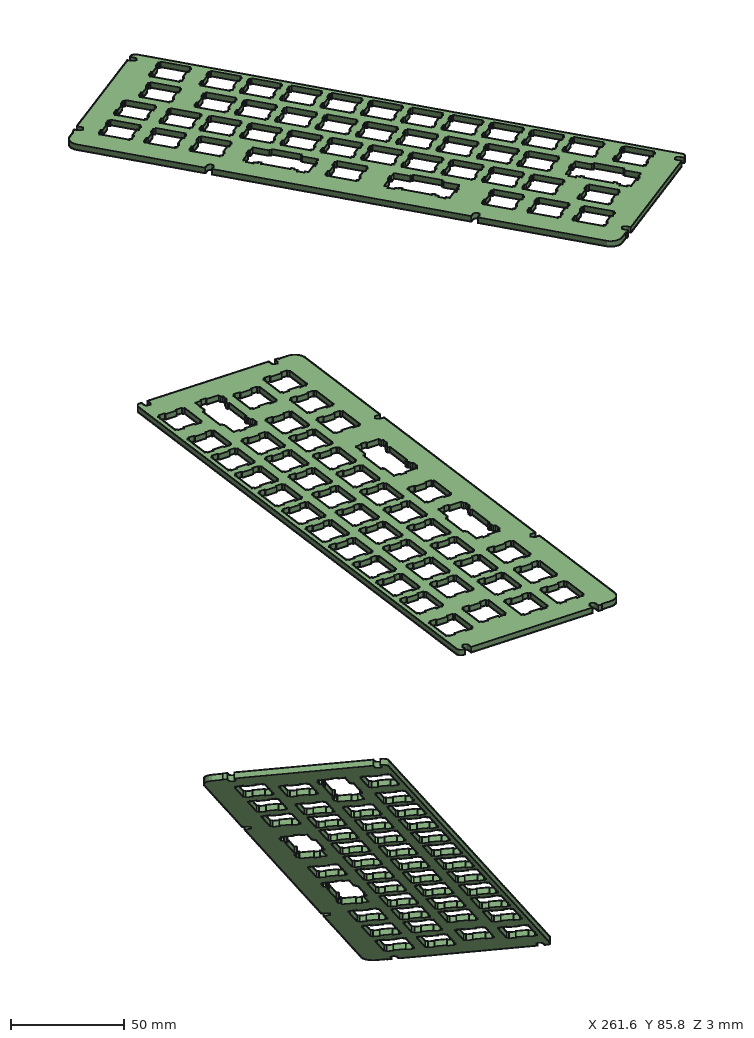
import cadquery as cq


PLATE_LENGTH = 261.6
PLATE_DEPTH = 85.8
PLATE_THICKNESS = 3.0
HALF_LENGTH = PLATE_LENGTH / 2
REAR_CORNER_RADIUS = 2.4
FRONT_CORNER_RADIUS = 5.5
FRONT_STEP_INSET = 0.4
FRONT_STEP_Y = 10.2

ROW_UNITS = 13
SIDE_MARGIN = 7.0
KEY_PITCH = (PLATE_LENGTH - 2 * SIDE_MARGIN) / ROW_UNITS
STABILIZED_KEY_UNITS = 2.0
KEY_ROWS = [
    [1.5] + [1] * 10 + [1.5],
    [1.75] + [1] * 9 + [2.25],
    [1.25] + [1] * 10 + [1.75],
    [1.25, 1, 1.25, 2.25, 1, 2.75, 1.25, 1, 1.25],
]

KEY_RIM = 2.5
SWITCH_SIZE = KEY_PITCH - 2 * KEY_RIM
WING_DEPTH = 0.8
WING_INNER_Y = 3.0
WING_OUTER_Y = 6.0

STAB_OFFSET = 12.0
STAB_WIDTH = 6.8
STAB_TOP = 5.5
STAB_BOTTOM = -6.8
STAB_CLIP_WIDTH = 3.5
STAB_CLIP_BOTTOM = -7.8
STAB_REACH = 16.2
STAB_RELIEF_TOP = 2.4
STAB_RELIEF_BOTTOM = -0.5

SLOT_WIDTH = 3.1
SLOT_DEPTH = 3.7
FRONT_SLOT_X = 62.8
REAR_SIDE_SLOT_Y = PLATE_DEPTH - 4.7
FRONT_SIDE_SLOT_Y = 13.9


def box_between(x0, x1, y0, y1):
    """Full-thickness block spanning the given X and Y limits."""
    block = cq.Workplane("XY").box(x1 - x0, y1 - y0, PLATE_THICKNESS, centered=False)
    return block.translate((x0, y0, 0))


def plate_blank():
    """Outline with rounded corners and slightly narrower front ends."""
    front_half = HALF_LENGTH - FRONT_STEP_INSET
    rear = box_between(-HALF_LENGTH, HALF_LENGTH, FRONT_STEP_Y, PLATE_DEPTH)
    rear = rear.edges("|Z and >Y").fillet(REAR_CORNER_RADIUS)
    front = box_between(-front_half, front_half, 0, FRONT_STEP_Y)
    front = front.edges("|Z and <Y").fillet(FRONT_CORNER_RADIUS)
    return rear.union(front)


def switch_cutout():
    """Square opening with two reliefs on each side."""
    half = SWITCH_SIZE / 2
    wing = half + WING_DEPTH
    cutout = box_between(-half, half, -half, half)
    for y0, y1 in ((WING_INNER_Y, WING_OUTER_Y), (-WING_OUTER_Y, -WING_INNER_Y)):
        cutout = cutout.union(box_between(-wing, wing, y0, y1))
    return cutout


def stabilized_cutout():
    """Switch opening joined to a stabilizer housing on each side."""
    outer = STAB_OFFSET + STAB_WIDTH / 2
    cutout = switch_cutout()
    cutout = cutout.union(box_between(-outer, outer, -WING_OUTER_Y, STAB_TOP))
    cutout = cutout.union(box_between(-STAB_REACH, STAB_REACH, STAB_RELIEF_BOTTOM, STAB_RELIEF_TOP))
    for x in (-STAB_OFFSET, STAB_OFFSET):
        for width, bottom in ((STAB_WIDTH, STAB_BOTTOM), (STAB_CLIP_WIDTH, STAB_CLIP_BOTTOM)):
            cutout = cutout.union(box_between(x - width / 2, x + width / 2, bottom, STAB_TOP))
    return cutout


def edge_slot(x, y, angle):
    """Round-ended slot cut inward from the edge point (x, y); angle 0 points along +X."""
    radius = SLOT_WIDTH / 2
    straight = SLOT_DEPTH - radius
    slot = box_between(-SLOT_DEPTH, straight, -radius, radius)
    round_end = cq.Workplane("XY").center(straight, 0).circle(radius).extrude(PLATE_THICKNESS)
    return slot.union(round_end).rotate((0, 0, 0), (0, 0, 1), angle).translate((x, y, 0))


def key_cutouts():
    """Openings of all keys, each centred on its key."""
    plain = switch_cutout().val()
    stabilized = stabilized_cutout().val()
    cutouts = []
    for row, widths in enumerate(KEY_ROWS):
        y = PLATE_DEPTH - (row + 0.5) * KEY_PITCH
        left_edge = -ROW_UNITS / 2
        for width in widths:
            x = (left_edge + width / 2) * KEY_PITCH
            cutout = stabilized if width >= STABILIZED_KEY_UNITS else plain
            cutouts.append(cutout.translate(cq.Vector(x, y, 0)))
            left_edge += width
    return cq.Compound.makeCompound(cutouts)


def edge_slots():
    """Two slots in each side edge and two in the front edge."""
    slots = []
    for y in (REAR_SIDE_SLOT_Y, FRONT_SIDE_SLOT_Y):
        slots.append(edge_slot(-HALF_LENGTH, y, 0).val())
        slots.append(edge_slot(HALF_LENGTH, y, 180).val())
    for x in (-FRONT_SLOT_X, FRONT_SLOT_X):
        slots.append(edge_slot(x, 0, 90).val())
    return cq.Compound.makeCompound(slots)


result = plate_blank().cut(cq.Workplane(key_cutouts())).cut(cq.Workplane(edge_slots()))